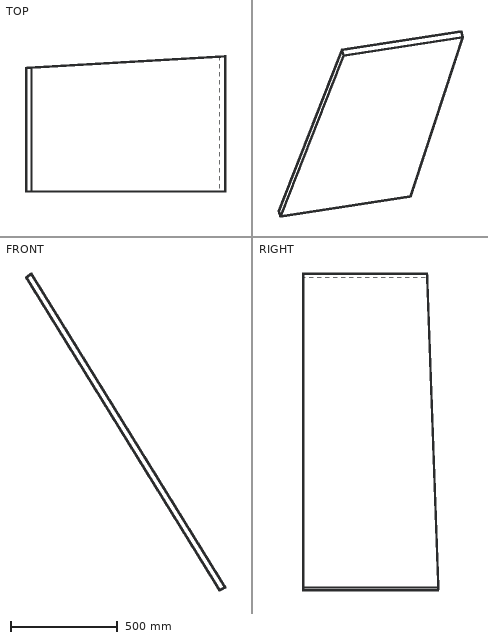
import cadquery as cq

LENGTH_X = 934.17
DEPTH_Y = 635.72
HEIGHT_Z = 1485.98

TOP_END_RUN = 23.8
TOP_END_RISE = 18.5
BOTTOM_END_RUN = 27.1
BOTTOM_END_RISE = 13.2

TOP_DEPTH_Y = 581.3


def tilted_board():
    """Sloping board of full depth with bevelled upper and lower ends."""
    profile = [
        (0, HEIGHT_Z - TOP_END_RISE),
        (TOP_END_RUN, HEIGHT_Z),
        (LENGTH_X, BOTTOM_END_RISE),
        (LENGTH_X - BOTTOM_END_RUN, 0),
    ]
    return cq.Workplane("XZ").polyline(profile).close().extrude(-DEPTH_Y)


def plan_prism():
    """Upright prism over the plan outline, whose rear edge is tapered."""
    outline = [
        (0, 0),
        (LENGTH_X, 0),
        (LENGTH_X, DEPTH_Y),
        (0, TOP_DEPTH_Y),
    ]
    return cq.Workplane("XY").polyline(outline).close().extrude(HEIGHT_Z)


result = tilted_board().intersect(plan_prism())